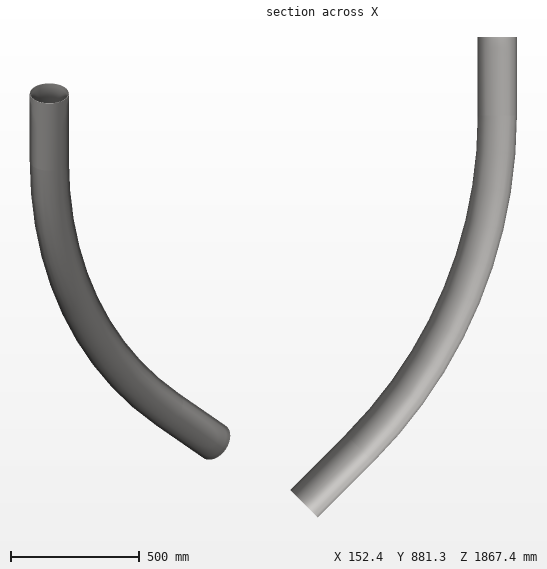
import cadquery as cq
import math

outer_diameter = 152.4
inner_diameter = 149.2
straight_length = 304.8
bend_radius = 1828.8
bend_angle = 45.0


def bend_point(angle):
    """Centreline (Y, Z) after turning by angle degrees from the bend start."""
    turn = math.radians(angle)
    return (
        bend_radius * (1 - math.cos(turn)),
        -straight_length - bend_radius * math.sin(turn),
    )


def centreline():
    """Path in the YZ plane, running down from the upper end at the origin."""
    bend_end = bend_point(bend_angle)
    end_direction = math.radians(bend_angle)
    lower_end = (
        bend_end[0] + straight_length * math.sin(end_direction),
        bend_end[1] - straight_length * math.cos(end_direction),
    )
    return (
        cq.Workplane("YZ")
        .lineTo(*bend_point(0))
        .threePointArc(bend_point(bend_angle / 2), bend_end)
        .lineTo(*lower_end)
    )


def tube():
    """Annular section swept along the centreline, open at both ends."""
    section = (
        cq.Workplane("XY")
        .circle(outer_diameter / 2)
        .circle(inner_diameter / 2)
    )
    return section.sweep(centreline())


result = tube()